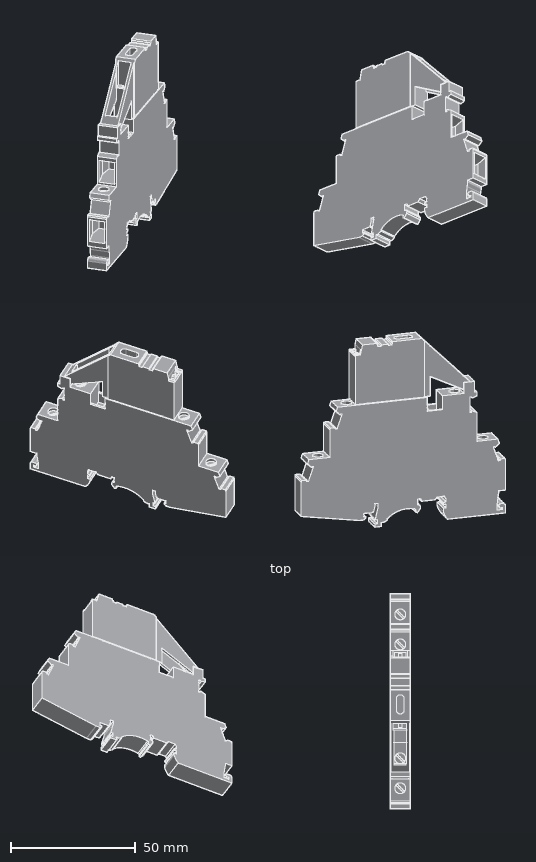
import cadquery as cq

width = 8.1
half_length = 43.3
height = 78.0

lower_ledge = 31.8
upper_ledge = 52.7
upper_half_length = 31.2
rail_recess_top = 9.95

gap_back = -10.1
gap_front = -16.5
gap_floor = 46.8
gap_pocket_width = 6.5
gap_pocket_back = -11.3
gap_pocket_depth = 5.2

post_back = -25.6
post_front = -30.1
post_top = 57.3
post_lip_bottom = 51.1
post_groove = -28.2
post_groove_bottom = 44.3

plug_back = 20.3
plug_front = -8.9
plug_bottom = 53.0
plug_step = 73.8
groove_floor = 76.6
groove_step = 77.3
rib_top = 77.1
plug_foot_inset = 0.1
plug_foot_back = 15.2
plug_foot_front = -6.2
nose_start = -7.8
nose_end = -28.3
nose_slope = (height - post_top) / (nose_start - nose_end)
nose_at_plug_front = height - (nose_start - plug_front) * nose_slope

handle_width = 7.45
handle_leg_front = -11.5
handle_leg_top = 61.2
handle_toe = 54.1
window_width = 5.2
window_step = 0.3
window_sill_back = -25.0
window_sill_top = 60.0
shelf_chamfer_length = 0.6
shelf_chamfer_drop = 0.3
shelf_top = 66.3
shelf_slot_width = 1.2
shelf_slot_length = 1.6
shelf_slot_depth = 0.9

screw_rows = ((34.9, lower_ledge), (22.85, upper_ledge), (-22.85, upper_ledge), (-34.9, lower_ledge))
screw_diameter = 4.3
screw_recess = 1.6
screw_slot_width = 0.7
screw_slot_depth = 0.4
screw_slot_angle = -45
entry_width = 6.5
entry_flare_width = 11.25
entry_height = 9.5
entry_throat_width = 3.1
entry_throat_height = 3.8
entry_throat_rise = 0.3
entry_depth = 6.9
entry_centre_drop = 15.15

test_slot_width = 3.2
test_slot_length = 7.7
test_slot_centre = -1.2
test_slot_depth = 5.2
back_pocket_width = 5.9
back_pocket_depth = 0.5
back_socket_width = 4.8
back_socket_inset = 0.8
back_socket_depth = 1.0
back_pocket_front = 17.8
back_cheek_width = 1.1
back_rib_width = 1.2
back_rib_gap = 0.4


def box(size_x, y_range, z_range, centre_x=0.0):
    """Block centred on centre_x between two Y and two Z positions."""
    y_low, y_high = sorted(y_range)
    z_low, z_high = sorted(z_range)
    return cq.Workplane("XY").box(
        size_x, y_high - y_low, z_high - z_low
    ).translate((centre_x, (y_low + y_high) / 2, (z_low + z_high) / 2))


def extrude_across(sketch, thickness):
    """Extrude a closed YZ outline evenly to both sides of the middle plane."""
    return sketch.close().extrude(thickness / 2, both=True)


def marker_notch(face, ledge, side):
    """Notch under a ledge, listed from the ledge down to the face; side is +1 at the +Y end."""
    inset_and_drop = [
        (3.3, 0), (2.6, 1.9), (4.4, 3.5), (4.7, 3.1), (5.2, 3.1),
        (3.0, 9.3), (2.3, 9.1), (2.2, 8.6), (0.3, 8.6), (0, 9.2),
    ]
    return [(side * (face - inset), ledge - drop) for inset, drop in inset_and_drop]


def make_housing():
    """Stepped body with rail feet, marker notches and hinge post, drawn as one YZ outline."""
    front_upper = [
        (-upper_half_length, lower_ledge), (-upper_half_length, 44.0),
        (-29.0, 45.0), (-28.7, post_groove_bottom), (post_groove, post_groove_bottom),
        (post_groove, 50.8), (-28.7, 50.8), (-29.2, 50.3),
        (-upper_half_length, post_lip_bottom), (-upper_half_length, upper_ledge),
        (post_front, upper_ledge), (post_front, post_top), (post_back, post_top), (post_back, upper_ledge),
    ]
    fuse_gap = [
        (gap_front, upper_ledge), (gap_front, gap_floor), (gap_back, gap_floor), (gap_back, upper_ledge),
    ]
    back_end = (
        marker_notch(upper_half_length, upper_ledge, 1)
        + [(upper_half_length, lower_ledge)]
        + marker_notch(half_length, lower_ledge, 1)
        + [(half_length, 8.0), (18.7, 3.55)]
    )
    back_rail_hook = [
        (16.8, 3.55), (15.9, 4.4), (15.9, 4.9), (16.8, 4.9), (16.8, 6.3), (12.9, 6.3),
        (12.6, 6.7), (12.1, 8.6), (12.1, rail_recess_top), (10.7, rail_recess_top),
        (10.7, 8.6), (11.9, 3.55), (11.9, 3.0), (11.0, 3.0), (11.0, 1.4), (12.1, 1.4),
        (12.1, 0), (9.35, 0), (9.35, 1.65), (8.5, 1.65),
    ]
    rail_claw = [
        (-5.3, 5.5), (-5.3, 4.4), (-5.9, 4.15), (-7.2, 5.8), (-7.3, 6.7), (-6.8, 7.45), (-6.15, 7.45),
        (-6.15, rail_recess_top), (-7.3, rail_recess_top), (-7.5, 9.35), (-7.5, 8.8),
    ]
    front_rail_hook = [
        (-13.4, 8.8), (-14.3, rail_recess_top), (-17.3, rail_recess_top), (-18.0, 8.8), (-18.0, 7.6),
        (-16.9, 7.2), (-17.05, 6.6), (-18.0, 6.3), (-18.0, 4.9), (-16.9, 4.9), (-16.9, 3.55),
    ]
    front_foot = [(-half_length, 0), (-half_length, 3.1)]
    latch_slot = [
        (-40.6, 2.8), (-40.85, 2.4), (-41.8, 2.4), (-41.8, 1.65),
        (-39.6, 1.65), (-39.6, 4.15), (-40.0, 6.9), (-40.3, 8.8),
    ]
    front_face = [(-40.3, 9.7), (-half_length, 9.7)] + marker_notch(half_length, lower_ledge, -1)[::-1]

    outline = (
        cq.Workplane("YZ")
        .polyline(front_face + front_upper + fuse_gap + back_end + back_rail_hook)
        .threePointArc((7.8, 1.9), (6.8, 2.5))
        .lineTo(6.75, 3.0)
        .threePointArc((-1.1, 6.3), (-4.8, 5.9))
    )
    for point in rail_claw + front_rail_hook:
        outline = outline.lineTo(*point)
    outline = outline.threePointArc((-17.5, 1.9), (-18.7, 0))
    for point in front_foot:
        outline = outline.lineTo(*point)
    outline = outline.threePointArc((-42.9, 3.8), (-42.2, 4.15)).lineTo(-41.0, 4.15)
    outline = outline.threePointArc((-40.5, 3.9), (-40.3, 3.5))
    for point in latch_slot:
        outline = outline.lineTo(*point)
    housing = extrude_across(outline, width)
    gap_pocket = box(
        gap_pocket_width, (gap_pocket_back, gap_front), (gap_floor - gap_pocket_depth, gap_floor)
    )
    return housing.cut(gap_pocket)


def make_plug():
    """Fuse plug with grooves and a test slot on top and a stepped rear corner."""
    outline = cq.Workplane("YZ").polyline([
        (plug_front, plug_bottom), (plug_front, nose_at_plug_front), (nose_start, height),
        (4.6, height), (4.6, groove_step), (4.8, groove_step), (4.8, groove_floor),
        (6.2, groove_floor), (6.4, rib_top), (9.2, rib_top), (9.35, groove_floor),
        (10.8, groove_floor), (10.8, groove_step), (11.1, groove_step), (11.1, height),
        (17.3, height), (18.3, plug_step), (plug_back, plug_step), (plug_back, plug_bottom),
    ])
    plug = extrude_across(outline, width)
    foot = box(width - 2 * plug_foot_inset, (plug_foot_front, plug_foot_back), (upper_ledge, plug_bottom))
    test_slot = (
        cq.Workplane("XY", origin=(0, test_slot_centre, height))
        .slot2D(test_slot_length, test_slot_width, 90)
        .extrude(-test_slot_depth)
    )
    step_notch = box(width - back_cheek_width, (back_pocket_front, plug_back), (plug_step, height),
                     back_cheek_width / 2)
    pocket_floor = plug_step - back_pocket_depth
    socket_back = plug_back - back_socket_inset
    back_pocket = box(back_pocket_width, (back_pocket_front, plug_back), (pocket_floor, plug_step))
    socket_z = (pocket_floor - back_socket_depth, pocket_floor)
    back_socket = box(back_socket_width, (back_pocket_front, socket_back), socket_z)
    back_rib = box(back_rib_width, (back_pocket_front, socket_back - back_rib_gap), socket_z)
    return plug.union(foot).cut(test_slot).cut(step_notch).cut(back_pocket).cut(back_socket.cut(back_rib))


def make_handle():
    """Slanted frame with an open window and a slotted shelf against the plug."""
    outline = cq.Workplane("YZ").polyline([
        (plug_front, plug_bottom), (plug_front, nose_at_plug_front), (nose_end, post_top),
        (nose_end, handle_toe), (post_back, handle_toe),
        (handle_leg_front, handle_leg_top), (handle_leg_front, plug_bottom),
    ])
    window = extrude_across(
        cq.Workplane("YZ").polyline([
            (plug_front, plug_bottom), (plug_front, height), (post_back, height),
            (post_back, window_sill_top), (window_sill_back, handle_toe), (window_sill_back, plug_bottom),
        ]),
        window_width,
    )
    step_x = (window_width + window_step) / 2
    back_step = box(window_step, (plug_front, handle_leg_front), (plug_bottom, height), -step_x)
    front_step = box(window_step, (window_sill_back, post_back), (plug_bottom, height),
                     step_x - window_step)
    shelf = extrude_across(
        cq.Workplane("YZ").polyline([
            (plug_front, plug_bottom), (plug_front, shelf_top),
            (handle_leg_front + shelf_chamfer_length, shelf_top),
            (handle_leg_front, shelf_top - shelf_chamfer_drop), (handle_leg_front, plug_bottom),
        ]),
        handle_width,
    )
    shelf_slot = box(shelf_slot_width, (plug_front, plug_front - shelf_slot_length),
                     (shelf_top - shelf_slot_depth, shelf_top))
    frame = extrude_across(outline, handle_width).cut(window.cut(front_step)).cut(back_step)
    return frame.union(shelf).cut(shelf_slot)


def make_screw_recess(y, ledge):
    """Round recess with the screw's driver slot in its floor."""
    floor = ledge - screw_recess
    recess = cq.Workplane("XY", origin=(0, y, floor)).circle(screw_diameter / 2).extrude(screw_recess)
    slot = (
        cq.Workplane("XY", origin=(0, y, floor))
        .transformed(rotate=(0, 0, screw_slot_angle))
        .rect(screw_diameter, screw_slot_width)
        .extrude(-screw_slot_depth)
    )
    return recess.union(slot)


def make_wire_entry(face, ledge):
    """Straight-sided pocket whose inner part narrows to a rectangular throat."""
    origin = (0, -face, ledge - entry_centre_drop)
    funnel = (
        cq.Workplane("XZ", origin=origin)
        .rect(entry_flare_width, entry_height)
        .workplane(offset=-entry_depth)
        .center(0, entry_throat_rise)
        .rect(entry_throat_width, entry_throat_height)
        .loft(ruled=True)
    )
    mouth = cq.Workplane("XZ", origin=origin).rect(entry_width, entry_height).extrude(-entry_depth)
    return funnel.intersect(mouth)


result = make_housing().union(make_plug()).union(make_handle())
for screw_y, screw_ledge in screw_rows:
    result = result.cut(make_screw_recess(screw_y, screw_ledge))
for entry_face, entry_ledge in ((half_length, lower_ledge), (upper_half_length, upper_ledge)):
    result = result.cut(make_wire_entry(entry_face, entry_ledge))